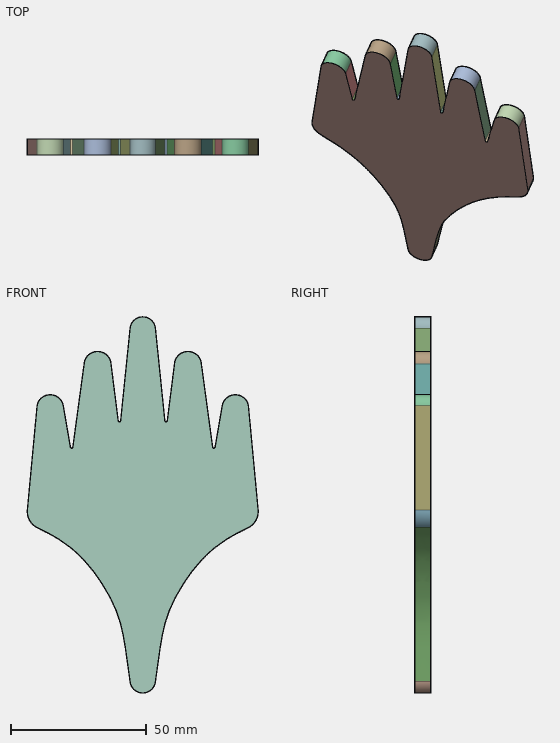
import cadquery as cq
import math

length = 138.7
thickness = 6.0

middle_half_width = 4.7
middle_round_height = 4.3

ring_center = 16.6
ring_half_width = 5.0
ring_tip = 126.0
ring_round_height = 4.6
outer_center = 34.1
outer_half_width = 4.9
outer_tip = 110.0
outer_round_height = 4.0

valley_radius = 0.4
inner_valley = (8.6, 100.0)
outer_valley = (26.2, 90.3)

corner_top = (42.6, 67.4)
corner_middle = (41.8, 63.7)
corner_bottom = (39.1, 61.0)

flank_points = [(31.2, 56.9), (21.8, 49.1), (11.0, 33.0)]
grip_half_width = 4.7
grip_round_height = 4.3
flank_start_direction = (-2.0, -1.0)
flank_end_direction = (-0.14, -1.0)


def add_finger(outline, center, half_width_at_round, tip, round_height):
    """Run up to a finger, then around its rounded end."""
    base = tip - round_height
    return (
        outline.lineTo(center - half_width_at_round, base)
        .threePointArc((center, tip), (center + half_width_at_round, base))
    )


def add_valley(outline, bottom):
    """Run down to a valley, then around its rounded bottom."""
    x, z = bottom
    side_z = z + valley_radius
    return outline.lineTo(x - valley_radius, side_z).threePointArc(bottom, (x + valley_radius, side_z))


def round_midpoint(half_width, height):
    """Offset along X and depth from the tip, halfway around one side of a circular end."""
    radius = (half_width ** 2 + height ** 2) / (2 * height)
    half_angle = math.atan2(half_width, radius - height) / 2
    return radius * math.sin(half_angle), radius * (1 - math.cos(half_angle))


def make_half():
    """Plate on the +X side of the symmetry plane."""
    middle_x, middle_drop = round_midpoint(middle_half_width, middle_round_height)
    outline = cq.Workplane("XZ", origin=(0, thickness / 2, 0)).moveTo(0, length).threePointArc(
        (middle_x, length - middle_drop),
        (middle_half_width, length - middle_round_height),
    )
    outline = add_valley(outline, inner_valley)
    outline = add_finger(outline, ring_center, ring_half_width, ring_tip, ring_round_height)
    outline = add_valley(outline, outer_valley)
    outline = add_finger(outline, outer_center, outer_half_width, outer_tip, outer_round_height)
    outline = outline.lineTo(*corner_top).threePointArc(corner_middle, corner_bottom)
    outline = outline.spline(
        flank_points + [(grip_half_width, grip_round_height)],
        tangents=[flank_start_direction, flank_end_direction],
        includeCurrent=True,
    )
    grip_middle = round_midpoint(grip_half_width, grip_round_height)
    outline = outline.threePointArc(grip_middle, (0, 0))
    return outline.close().extrude(thickness)


half = make_half()
result = half.union(half.mirror("YZ")).clean()